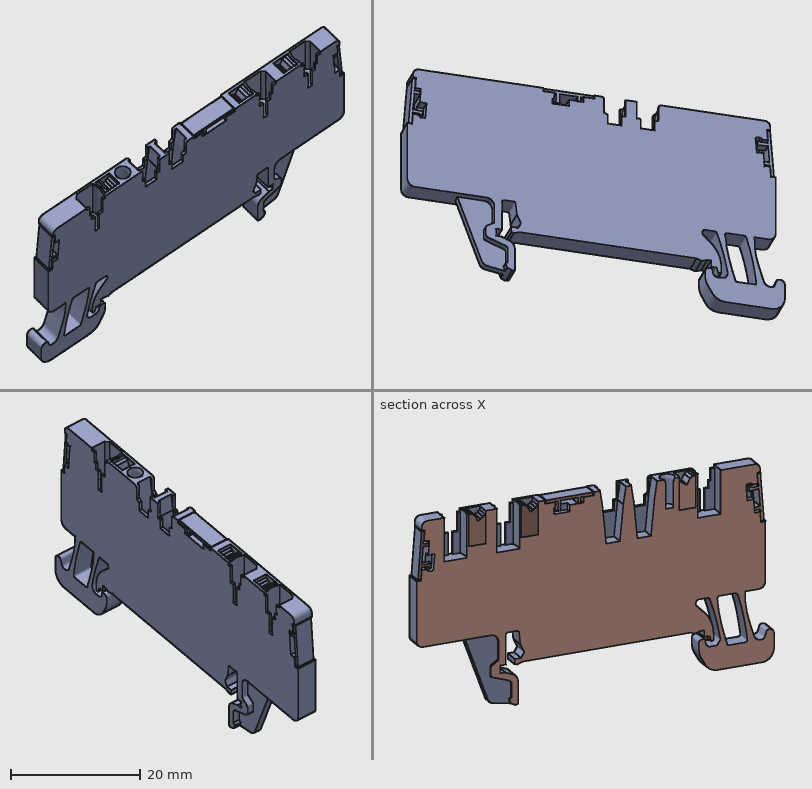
import cadquery as cq
import math


THICKNESS = 3.5
HALF_THICKNESS = THICKNESS / 2
LENGTH = 61.1
TOP_Z = 33.4
BASE_Z = 12.35
RAIL_Z = 7.0

BODY_CENTER_Y = 0.75
BODY_HALF_LENGTH = LENGTH / 2 - BODY_CENTER_Y
TOP_INSET = 0.9
TOP_HALF_LENGTH = BODY_HALF_LENGTH - TOP_INSET
END_SLOPE_TOP_Z = 31.9
END_SLOPE_BOTTOM_Z = 23.5
CORNER_RADIUS = 1.0
BASE_CORNER_RADIUS = 1.2

POST_CENTER_Y = -5.7
POST_WIDTH = 1.85
NOTCH_WIDTH = 3.5
NOTCH_STEP = 0.6
NOTCH_BEVEL = 0.35
POST_BEVEL = 0.2
NOTCH_SHOULDER_Z = 30.65
NOTCH_FLOOR_Z = 28.75
NOTCH_EDGE_RADIUS = 0.5
WELL_WIDTH = 2.45
WELL_FLARE = 0.4
WELL_FLOOR_Z = 24.45

MARKER_WIDTH = 3.05
MARKER_LENGTH = 8.05
PLATE_HEIGHT = 0.55
MARKER_GAP = 0.1
LEG_OFFSET = 1.7
LEG_THICKNESS = 0.55
SHORT_LEG_DEPTH = 1.45
HOOK_LEG_DEPTH = 2.2
HOOK_TOE = 0.2
LEG_POCKET_LENGTH = 4.7
HOOK_POCKET_END = 2.7
HOOK_POCKET_DEPTH = 2.55
HOOK_POCKET_RADIUS = 0.3
HOOK_POCKET_BEVEL = 0.3
HOOK_POCKET_FLOOR_X = 0
TOP_MARKER_Y = 4.4
END_MARKER_OFFSET = 29.25
END_MARKER_Z = 27.7
END_MARKER_TILT = 4.4

ENTRY_LENGTH = 3.8
ENTRY_HALF_WIDTH = 1.35
ENTRY_CORNER = 0.55
ENTRY_DEPTH = 7.3
BULGE = 0.2
BULGE_HALF_WIDTH = 1.0
LEDGES = [(0, 0.7, 0.5), (0.7, 1.05, 2.45), (1.05, 1.7, 3.65), (2.5, 3.3, 3.65), (3.3, ENTRY_LENGTH, 0.5)]
LEVER_HALF_WIDTH = 1.2
LEVER_START = 4.15
LEVER_END = 7.0
LEVER_DEPTH = 5.5
LEVER_RIM = 0.6
LEVER_RIM_DROP = 0.2
LEVER_BROW_DROP = 0.5
LEVER_VALLEY = 1.6
LEVER_VALLEY_DROP = 1.45
LEVER_RIBS = 3
LEVER_RIB_RISE = 0.3
LEVER_TREAD_RISE = 0.2
WIRE_STATIONS = [(25.8, -1), (16.8, -1), (-21.4, 1)]

TEST_HOLE_Y = -12.65
TEST_HOLE_RADIUS = 1.05
TEST_HOLE_MOUTH_RADIUS = 1.2
TEST_HOLE_MOUTH_DEPTH = 0.6
TEST_HOLE_DEPTH = 4.9

RIB_THICKNESS = 1.2


FOOT_STRIP_BACK = [
    (16.5, BASE_Z, 1.35),
    (16.5, 8.05, 0.25),
    (17.85, 7.2, 0.35),
    (17.85, 5.4, 0.5),
    (14.3, 4.1, 0.6),
    (14.3, 1.45),
    (14.65, 1.1),
    (14.4, 0.35),
]

FOOT_STRIP_FRONT = [
    (13.6, 0),
    (13.15, 0.1),
    (13.15, 4.9, 1.5),
    (15.4, 5.8),
    (16.2, 5.8),
    (16.2, RAIL_Z),
    (15.2, RAIL_Z),
    (15.2, BASE_Z, 0.3),
    (13.1, BASE_Z, 0.3),
    (12.8, 10.1),
]

SADDLE = [
    (12.15, 8.6, 0.25),
    (12.7, 7.75),
    (13.75, 7.75),
    (13.75, 6.85),
    (13.3, 6.7),
    (12.35, RAIL_Z),
    (-16.25, RAIL_Z),
    (-17.05, 6.7),
    (-17.95, RAIL_Z),
    (-18.55, RAIL_Z),
    (-18.55, 5.9),
    (-19.5, 5.9, 0.2),
    (-19.7, 5.0, 0.2),
    (-20.2, 5.0, 0.2),
    (-20.2, 8.5, 5.5),
    (-17.1, 11.6, 0.35),
    (-17.35, BASE_Z, 0.3),
]

SPRING_FOOT = [
    (-19.4, BASE_Z, 0.35),
    (-20.5, 9.15, 36.65),
    (-21.3, 5.1, 0.35),
    (-20.75, 4.2, 0.6),
    (-19.0, 4.2, 0.75),
    (-18.75, 5.6, 0.2),
    (-17.6, 5.6, 0.55),
    (-17.65, 3.2, 3.65),
    (-19.5, 0, 2.45),
    (-LENGTH / 2, 0, 2.15),
    (-LENGTH / 2, 5.45, 0.85),
    (-29.25, 5.45, 0.55),
    (-28.75, 3.9, 0.6),
    (-27.35, 3.9, 1.1),
    (-25.6, 9.65, 15.9),
    (-25.6, BASE_Z),
]

FOOT_WINDOW = [
    (-20.8, BASE_Z, 0.35),
    (-24.2, BASE_Z, 0.5),
    (-25.2, 8.9, 36.65),
    (-25.95, 3.9, 0.3),
    (-22.6, 3.9, 0.25),
    (-21.15, 8.9, 30.55),
]

FOOT_RIB_BACK = [
    (17.95, 0.9, 1.2),
    (22.1, BASE_Z),
]


def rounded_outline(plane, corners):
    """Closed outline through the corners, each rounded by a tangent arc of its own radius."""
    points = [cq.Vector(corner[0], corner[1]) for corner in corners]
    radii = [corner[2] if len(corner) > 2 else 0 for corner in corners]
    path = cq.Workplane(plane)
    for index, (point, radius) in enumerate(zip(points, radii)):
        to_last = (points[index - 1] - point).normalized()
        to_next = (points[(index + 1) % len(points)] - point).normalized()
        half_angle = to_last.getAngle(to_next) / 2
        trim = radius / math.tan(half_angle)
        start = point + to_last * trim
        path = path.lineTo(start.x, start.y) if index else path.moveTo(start.x, start.y)
        if radius:
            bisector = (to_last + to_next).normalized()
            middle = point + bisector * (radius / math.sin(half_angle) - radius)
            end = point + to_next * trim
            path = path.threePointArc((middle.x, middle.y), (end.x, end.y))
    return path.close()


def prism(corners, width):
    """Prism along X, centred on the middle of the thickness."""
    return rounded_outline("YZ", corners).extrude(width / 2, both=True)


def rectangle(start, end, bottom, top):
    return [(start, bottom), (end, bottom), (end, top), (start, top)]



def end_corners(side):
    """Corners of one end of the body, from the top down; side is 1 at +Y and -1 at -Y."""
    top_y = BODY_CENTER_Y + side * TOP_HALF_LENGTH
    end_y = BODY_CENTER_Y + side * BODY_HALF_LENGTH
    return [
        (top_y, TOP_Z, CORNER_RADIUS),
        (top_y, END_SLOPE_TOP_Z),
        (end_y, END_SLOPE_BOTTOM_Z),
        (end_y, BASE_Z, BASE_CORNER_RADIUS),
    ]


def notch_corners(side):
    """Corners of the stepped notch on one side of the post, from the post outwards."""
    post_y = POST_CENTER_Y + side * POST_WIDTH / 2
    outer_y = post_y + side * NOTCH_WIDTH
    post_step_y = post_y + side * NOTCH_STEP
    outer_step_y = outer_y - side * NOTCH_STEP
    bevel_z = NOTCH_SHOULDER_Z - NOTCH_BEVEL
    post_shoulder_z = NOTCH_SHOULDER_Z - POST_BEVEL
    return [
        (post_y, TOP_Z),
        (post_y, post_shoulder_z),
        (post_step_y - side * POST_BEVEL, post_shoulder_z),
        (post_step_y, post_shoulder_z - POST_BEVEL),
        (post_step_y, NOTCH_FLOOR_Z),
        (outer_step_y, NOTCH_FLOOR_Z),
        (outer_step_y, bevel_z),
        (outer_y, NOTCH_SHOULDER_Z),
        (outer_y, TOP_Z, NOTCH_EDGE_RADIUS),
    ]


def well_cutter(side):
    """Tapered well between the thin walls of a notch, reaching below the notch floor."""
    post_y = POST_CENTER_Y + side * POST_WIDTH / 2
    outer_y = post_y + side * NOTCH_WIDTH
    return prism([
        (post_y - side * WELL_FLARE, TOP_Z),
        (post_y, NOTCH_SHOULDER_Z),
        (post_y + side * NOTCH_STEP, WELL_FLOOR_Z),
        (outer_y - side * NOTCH_STEP, WELL_FLOOR_Z),
        (outer_y, NOTCH_SHOULDER_Z),
        (outer_y + side * WELL_FLARE, TOP_Z),
    ], WELL_WIDTH)


def along_station(edge_y, side, corners):
    """Corners given as (x, distance from the entry's outer edge), turned into (x, y)."""
    return [(x, edge_y + side * distance) for x, distance in corners]


def bulged_end(path, edge_y, side, distance, half_width):
    """Add the curved side facing the wall between entry and lever, from -half_width to +half_width."""
    middle, end = along_station(edge_y, side, [(0, distance + BULGE), (half_width, distance)])
    return path.threePointArc(middle, end)


def wire_entry_cutter(edge_y, side):
    """Wire entry, open to the +X face above and between its ledges."""
    start = along_station(edge_y, side, [
        (HALF_THICKNESS, 0),
        (ENTRY_CORNER - ENTRY_HALF_WIDTH, 0),
        (-ENTRY_HALF_WIDTH, ENTRY_CORNER),
        (-ENTRY_HALF_WIDTH, ENTRY_LENGTH),
        (-BULGE_HALF_WIDTH, ENTRY_LENGTH),
    ])
    corner = along_station(edge_y, side, [(HALF_THICKNESS, ENTRY_LENGTH)])[0]
    path = cq.Workplane("XY", origin=(0, 0, TOP_Z)).polyline(start)
    path = bulged_end(path, edge_y, side, ENTRY_LENGTH, BULGE_HALF_WIDTH)
    cutter = path.lineTo(*corner).close().extrude(-ENTRY_DEPTH)
    for ledge_start, ledge_end, drop in LEDGES:
        (x1, y1), (x2, y2) = along_station(
            edge_y, side, [(ENTRY_HALF_WIDTH, ledge_start), (HALF_THICKNESS, ledge_end)]
        )
        ledge = (
            cq.Workplane("XY", origin=((x1 + x2) / 2, (y1 + y2) / 2, TOP_Z - ENTRY_DEPTH))
            .rect(x2 - x1, abs(y2 - y1))
            .extrude(ENTRY_DEPTH - drop)
        )
        cutter = cutter.cut(ledge)
    return cutter


def lever_blank(edge_y, side):
    """Full lever space: a block with one curved end next to the wire entry."""
    start = along_station(edge_y, side, [
        (LEVER_HALF_WIDTH, LEVER_END),
        (-LEVER_HALF_WIDTH, LEVER_END),
        (-LEVER_HALF_WIDTH, LEVER_START),
    ])
    path = cq.Workplane("XY", origin=(0, 0, TOP_Z)).polyline(start)
    path = bulged_end(path, edge_y, side, LEVER_START, LEVER_HALF_WIDTH)
    return path.close().extrude(-LEVER_DEPTH)


def test_hole_cutter():
    return (
        cq.Workplane("XZ", origin=(0, TEST_HOLE_Y, 0))
        .polyline([
            (0, TOP_Z),
            (TEST_HOLE_MOUTH_RADIUS, TOP_Z),
            (TEST_HOLE_RADIUS, TOP_Z - TEST_HOLE_MOUTH_DEPTH),
            (TEST_HOLE_RADIUS, TOP_Z - TEST_HOLE_DEPTH),
            (0, TOP_Z - TEST_HOLE_DEPTH),
        ])
        .close()
        .revolve(360, (0, 0), (0, 1))
    )


def marker_recess():
    """Recess for a marker whose face centre is at the origin and faces +Z."""
    slot_half = MARKER_LENGTH / 2 + MARKER_GAP
    pocket_half = LEG_POCKET_LENGTH / 2
    slot = prism(rectangle(-slot_half, slot_half, -PLATE_HEIGHT, PLATE_HEIGHT), THICKNESS)
    leg_pocket = prism(rectangle(-pocket_half, pocket_half, -SHORT_LEG_DEPTH, 0), THICKNESS)
    hook_corners = [
        (0, -SHORT_LEG_DEPTH),
        (0, -HOOK_POCKET_DEPTH),
        (HOOK_POCKET_END, -HOOK_POCKET_DEPTH, HOOK_POCKET_RADIUS),
        (HOOK_POCKET_END, -SHORT_LEG_DEPTH - HOOK_POCKET_BEVEL),
        (HOOK_POCKET_END - HOOK_POCKET_BEVEL, -SHORT_LEG_DEPTH),
    ]
    hook_pocket = (
        rounded_outline("YZ", hook_corners)
        .extrude(HALF_THICKNESS + HOOK_POCKET_FLOOR_X)
        .translate((-HALF_THICKNESS, 0, 0))
    )
    return slot.union(leg_pocket).union(hook_pocket)



def make_marker():
    """Marker with its face centre at the origin, facing +Z, and its hooked leg on the +Y side."""
    half_length = MARKER_LENGTH / 2
    leg_start = LEG_OFFSET - LEG_THICKNESS / 2
    leg_end = LEG_OFFSET + LEG_THICKNESS / 2
    marker = prism(rectangle(-half_length, half_length, -PLATE_HEIGHT, 0), MARKER_WIDTH)
    short_leg = prism(rectangle(-leg_end, -leg_start, -SHORT_LEG_DEPTH, -PLATE_HEIGHT), MARKER_WIDTH)
    hook_leg_corners = [
        (leg_start, -PLATE_HEIGHT),
        (leg_start, -HOOK_LEG_DEPTH),
        (leg_end + HOOK_TOE, -HOOK_LEG_DEPTH),
        (leg_end, -SHORT_LEG_DEPTH),
        (leg_end, -PLATE_HEIGHT),
    ]
    hook_leg = (
        rounded_outline("YZ", hook_leg_corners)
        .extrude(MARKER_WIDTH / 2 + HOOK_POCKET_FLOOR_X)
        .translate((-MARKER_WIDTH / 2, 0, 0))
    )
    return marker.union(short_leg).union(hook_leg)


def at_marker_places(shape):
    """Copies of a shape at the top marker and at the two tilted end markers."""
    places = [(0, TOP_MARKER_Y, TOP_Z)]
    for side in (1, -1):
        places.append((-side * (90 - END_MARKER_TILT),
                       BODY_CENTER_Y + side * END_MARKER_OFFSET, END_MARKER_Z))
    return [shape.rotate((0, 0, 0), (1, 0, 0), angle).translate((0, y, z)) for angle, y, z in places]


def make_lever(edge_y, side):
    """Release lever whose top falls steeply to a ribbed finger rest."""
    valley = LEVER_START + LEVER_VALLEY
    rib_pitch = (LEVER_END - valley) / LEVER_RIBS
    rest = [
        (LEVER_START, 0),
        (LEVER_START, -LEVER_RIM_DROP),
        (LEVER_START + LEVER_RIM, -LEVER_RIM_DROP),
        ((LEVER_START + LEVER_RIM + valley) / 2, -LEVER_BROW_DROP),
        (valley, -LEVER_VALLEY_DROP),
    ]
    for rib in range(LEVER_RIBS):
        rib_y = valley + (rib + 1) * rib_pitch
        root_z = rib * LEVER_RIB_RISE - LEVER_VALLEY_DROP
        rest.append((rib_y, root_z + LEVER_TREAD_RISE))
        rest.append((rib_y, root_z + LEVER_RIB_RISE))
    rest.append((LEVER_END, 0))
    cutter = prism([(edge_y + side * distance, TOP_Z + z) for distance, z in rest], THICKNESS)
    return lever_blank(edge_y, side).cut(cutter)


def make_housing():
    outline = (
        end_corners(1) + FOOT_STRIP_BACK + FOOT_STRIP_FRONT + SADDLE + SPRING_FOOT
        + end_corners(-1)[::-1] + notch_corners(-1)[::-1] + notch_corners(1)
    )
    housing = prism(outline, THICKNESS)
    housing = housing.cut(prism(FOOT_WINDOW, THICKNESS))
    housing = housing.union(prism(FOOT_STRIP_BACK + FOOT_RIB_BACK, RIB_THICKNESS))
    for side in (1, -1):
        housing = housing.cut(well_cutter(side))
    for edge_y, side in WIRE_STATIONS:
        housing = housing.cut(wire_entry_cutter(edge_y, side))
        housing = housing.cut(lever_blank(edge_y, side))
    housing = housing.cut(test_hole_cutter())
    for recess in at_marker_places(marker_recess()):
        housing = housing.cut(recess)
    return housing


housing = make_housing()
markers = at_marker_places(make_marker())
levers = [make_lever(edge_y, side) for edge_y, side in WIRE_STATIONS]

result = cq.Compound.makeCompound(
    [housing.val()] + [marker.val() for marker in markers] + [lever.val() for lever in levers]
)